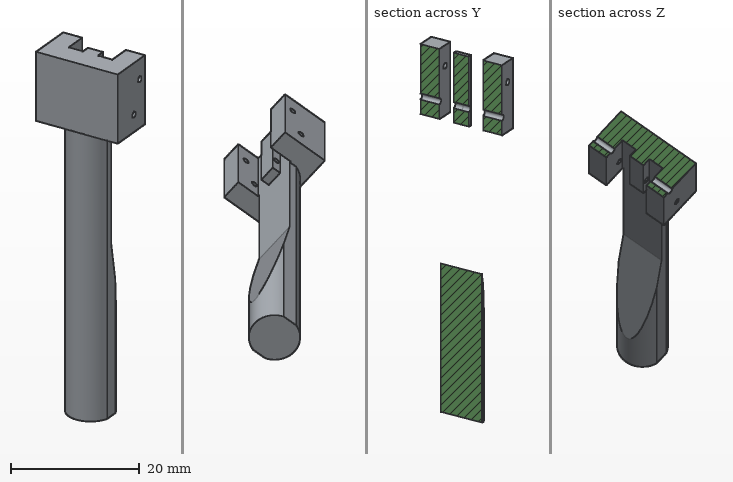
import cadquery as cq

total_height = 62.0
head_width = 15.0
depth = 8.0
head_height = 12.0
shaft_radius = depth / 2
width_across_flats = 7.6

head_bottom = total_height - head_height

slot_width = depth
tongue_width = 2.8
tongue_height = 1.5

relief_bottom = 7.5
relief_shoulder = 30.0

pin_diameter = 1.0
pin_positions = [(1.55, 3.55), (3.2, 9.0)]


def centered_box(width, y_start, y_end, z_start, z_end):
    """Box centred on X = 0 between the given Y and Z limits."""
    box = cq.Workplane("XY").box(width, y_end - y_start, z_end - z_start, centered=(True, False, False))
    return box.translate((0, y_start, z_start))


def make_shaft():
    """Round shaft with two side flats and a sloped relief at the back."""
    round_bar = cq.Workplane("XY").circle(shaft_radius).extrude(head_bottom)
    flats = centered_box(width_across_flats, -shaft_radius, shaft_radius, 0, head_bottom)
    relief = (
        cq.Workplane("YZ")
        .moveTo(0, head_bottom)
        .lineTo(0, relief_shoulder)
        .lineTo(shaft_radius, relief_bottom)
        .lineTo(shaft_radius, head_bottom)
        .close()
        .extrude(shaft_radius, both=True)
    )
    return round_bar.intersect(flats).cut(relief)


def make_head():
    """Slotted block with a tongue running up the slot floor."""
    block = centered_box(head_width, -shaft_radius, shaft_radius, head_bottom, total_height)
    slot = centered_box(slot_width, 0, shaft_radius, head_bottom, total_height)
    tongue = centered_box(tongue_width, 0, tongue_height, head_bottom, total_height)
    return block.cut(slot).union(tongue)


def make_pin_holes():
    """Cross holes through both cheeks; the lower one also crosses the tongue."""
    centers = [(shaft_radius - back, total_height - down) for back, down in pin_positions]
    return (
        cq.Workplane("YZ")
        .pushPoints(centers)
        .circle(pin_diameter / 2)
        .extrude(head_width, both=True)
    )


result = make_shaft().union(make_head()).cut(make_pin_holes())